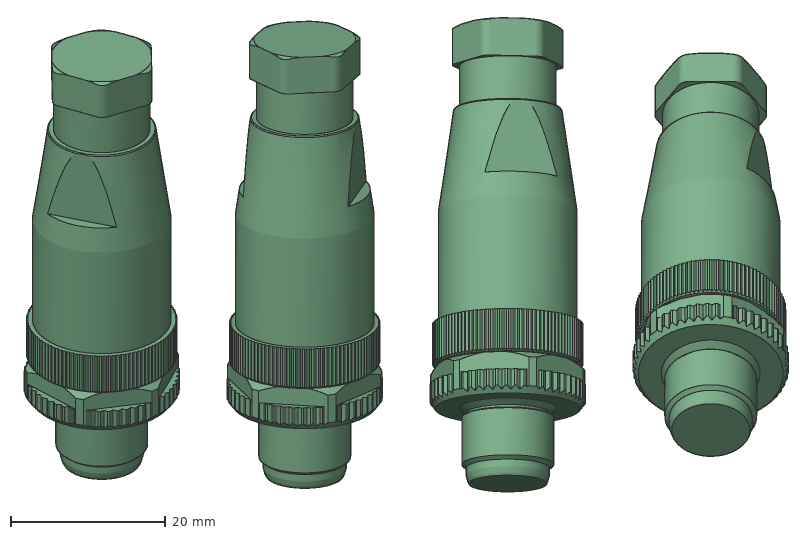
import cadquery as cq
import math

TIP_CHAMFER_TOP = 0.3
TIP_TAPER_TOP = 1.05
TIP_TOP = 2.05
PLUG_BOTTOM = 2.5
PLUG_TOP = 8.75
PLUG_NECK_BOTTOM = 9.0
PLUG_NECK_TOP = 9.3
RING_BOTTOM = 9.95
RING_CHAMFER_TOP = 10.85
RING_TOP = 13.05
COLLAR_BOTTOM = 15.55
COLLAR_TOP = 21.1
CONE_BOTTOM = 36.15
FLAT_FLOOR = 39.6
CONE_TOP = 49.6
CAP_BOTTOM = 55.4
CAP_TOP = 60.4

TIP_END_RADIUS = 5.05
TIP_TAPER_RADIUS = 5.2
TIP_RADIUS = 5.4
PLUG_RADIUS = 5.97
PLUG_NECK_RADIUS = 5.4
FLANGE_RADIUS = 6.4
BODY_RADIUS = 9.0
CONE_TOP_RADIUS = 7.05
CONE_EDGE_CHAMFER = 0.15
CAP_NECK_RADIUS = 6.27

COLLAR_RADIUS = 9.75
COLLAR_TEETH = 104
COLLAR_TOOTH_DEPTH = 0.17
COLLAR_CREST_WIDTH = 0.02
COLLAR_TOOTH_PHASE = 0.0
COLLAR_CHAMFER = 0.3

NUT_RADIUS = 10.095
NUT_ACROSS_FLATS = 18.0
NUT_CORNER_ANGLE = 37.75
NUT_TOP_RADIUS = 9.1
NUT_TOP_CHAMFER_HEIGHT = 0.85
RING_BOTTOM_RADIUS = 9.4
RING_TEETH = 52
RING_TOOTH_DEPTH = 0.35
RING_CREST_WIDTH = 0.3
RING_TOOTH_PHASE = 1.75

FLAT_DISTANCE = 7.0
FLAT_ANGLE = 3.0

CAP_ACROSS_FLATS = 12.9
CAP_CORNER_FILLET = 1.45
CAP_CORNER_ANGLE = -5.0
CAP_TOP_RADIUS = 6.6
CAP_CHAMFER_HEIGHT = 0.25
CAP_CHAMFER_RUN = 0.65


def revolved(profile):
    """Solid of revolution about Z from (radius, height) points closed along the axis."""
    points = [(0, profile[0][1])] + profile + [(0, profile[-1][1])]
    return cq.Workplane("XZ").polyline(points).close().revolve(360, (0, 0), (0, 1))


def hexagon(across_flats, corner_angle, bottom, top):
    """Hexagonal prism with one corner at corner_angle degrees from +X."""
    corner_diameter = across_flats / math.cos(math.pi / 6)
    prism = cq.Workplane("XY").workplane(offset=bottom).polygon(6, corner_diameter).extrude(top - bottom)
    return prism.rotate((0, 0, 0), (0, 0, 1), corner_angle)


def knurled_disc(radius, depth, crest_width, teeth, phase, bottom, top):
    """Disc with flat-crested teeth and sharp roots; phase is the angle in degrees of one crest."""
    pitch = 360 / teeth
    half_crest = math.degrees(crest_width / radius) / 2
    points = []
    for tooth in range(teeth):
        crest_angle = phase + tooth * pitch
        tooth_corners = [
            (radius, crest_angle - half_crest),
            (radius, crest_angle + half_crest),
            (radius - depth, crest_angle + pitch / 2),
        ]
        for corner_radius, degrees in tooth_corners:
            angle = math.radians(degrees)
            points.append((corner_radius * math.cos(angle), corner_radius * math.sin(angle)))
    return cq.Workplane("XY").workplane(offset=bottom).polyline(points).close().extrude(top - bottom)


def make_core():
    """Turned plug, body, cone and cap neck in one profile."""
    return revolved([
        (TIP_END_RADIUS, 0),
        (TIP_TAPER_RADIUS, TIP_CHAMFER_TOP),
        (TIP_RADIUS, TIP_TAPER_TOP),
        (TIP_RADIUS, TIP_TOP),
        (PLUG_RADIUS, PLUG_BOTTOM),
        (PLUG_RADIUS, PLUG_TOP),
        (PLUG_NECK_RADIUS, PLUG_NECK_BOTTOM),
        (PLUG_NECK_RADIUS, PLUG_NECK_TOP),
        (FLANGE_RADIUS, RING_BOTTOM),
        (BODY_RADIUS, RING_BOTTOM),
        (BODY_RADIUS, CONE_BOTTOM),
        (CONE_TOP_RADIUS, CONE_TOP - CONE_EDGE_CHAMFER),
        (CONE_TOP_RADIUS - CONE_EDGE_CHAMFER, CONE_TOP),
        (CAP_NECK_RADIUS, CONE_TOP),
        (CAP_NECK_RADIUS, CAP_BOTTOM),
    ])


def make_flat_cutters():
    """Two opposite blocks that cut the wrench flats into the cone."""
    height = CONE_TOP - FLAT_FLOOR
    block = cq.Workplane("XY").box(2 * BODY_RADIUS, BODY_RADIUS, height, centered=(True, False, False))
    block = block.translate((0, FLAT_DISTANCE, FLAT_FLOOR))
    cutters = block.union(block.mirror("XZ"))
    return cutters.rotate((0, 0, 0), (0, 0, 1), FLAT_ANGLE)


def make_collar():
    """Fine-toothed grip collar with a chamfered lower edge."""
    collar = knurled_disc(
        COLLAR_RADIUS,
        COLLAR_TOOTH_DEPTH,
        COLLAR_CREST_WIDTH,
        COLLAR_TEETH,
        COLLAR_TOOTH_PHASE,
        COLLAR_BOTTOM,
        COLLAR_TOP,
    )
    envelope = revolved([
        (COLLAR_RADIUS - COLLAR_CHAMFER, COLLAR_BOTTOM),
        (COLLAR_RADIUS, COLLAR_BOTTOM + COLLAR_CHAMFER),
        (COLLAR_RADIUS, COLLAR_TOP),
    ])
    return collar.intersect(envelope)


def make_nut():
    """Coupling nut whose hexagon corners run down through the knurled ring."""
    hexagon_body = hexagon(NUT_ACROSS_FLATS, NUT_CORNER_ANGLE, RING_BOTTOM, COLLAR_BOTTOM)
    ring = knurled_disc(
        NUT_RADIUS,
        RING_TOOTH_DEPTH,
        RING_CREST_WIDTH,
        RING_TEETH,
        RING_TOOTH_PHASE,
        RING_BOTTOM,
        RING_TOP,
    )
    envelope = revolved([
        (RING_BOTTOM_RADIUS, RING_BOTTOM),
        (NUT_RADIUS, RING_CHAMFER_TOP),
        (NUT_RADIUS, COLLAR_BOTTOM - NUT_TOP_CHAMFER_HEIGHT),
        (NUT_TOP_RADIUS, COLLAR_BOTTOM),
    ])
    return hexagon_body.union(ring).intersect(envelope)


def make_cap():
    """Hexagonal cap with rounded corners and a conical chamfer on top."""
    cap = hexagon(CAP_ACROSS_FLATS, CAP_CORNER_ANGLE, CAP_BOTTOM, CAP_TOP)
    cap = cap.edges("|Z").fillet(CAP_CORNER_FILLET)
    chamfer_base_radius = CAP_TOP_RADIUS + CAP_CHAMFER_RUN
    envelope = revolved([
        (chamfer_base_radius, CAP_BOTTOM),
        (chamfer_base_radius, CAP_TOP - CAP_CHAMFER_HEIGHT),
        (CAP_TOP_RADIUS, CAP_TOP),
    ])
    return cap.intersect(envelope)


core = make_core().cut(make_flat_cutters())
result = core.union(make_nut()).union(make_collar()).union(make_cap())